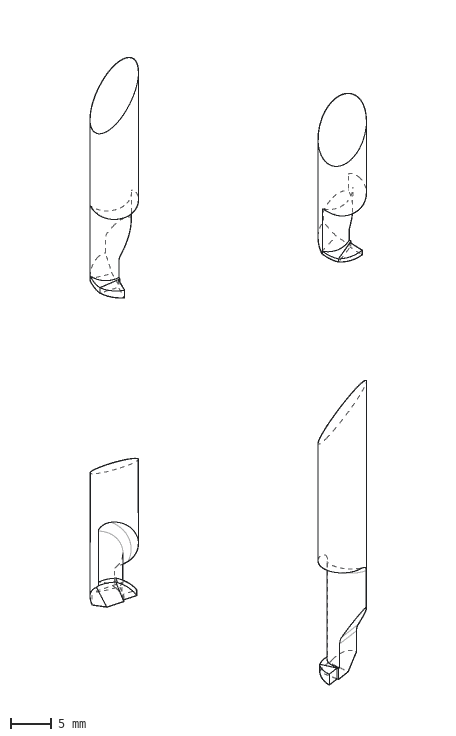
import cadquery as cq
import math

LENGTH = 42.45
DIAMETER = 6.0
RADIUS = DIAMETER / 2
END_ANGLE = 60
END_SLOPE = math.tan(math.radians(END_ANGLE))
OVERSIZE = 2 * DIAMETER

NECK_RADIUS = RADIUS
NECK_RIGHT = 0.95
NECK_AXIS_X = NECK_RIGHT - NECK_RADIUS
SHOULDER_Z = 16.15
SHOULDER_FILLET = 1.0

NECK_EDGE_X = NECK_AXIS_X / 2
NECK_EDGE_Y = -math.sqrt(RADIUS**2 - NECK_EDGE_X**2)

RELIEF_Y = 0.2
RELIEF_CORNER_Z = 5.47
RELIEF_FILLET = 2.0

HEAD_HEIGHT = 1.55
HEAD_CLEARANCE = 5
HEAD_BOTTOM_TILT = 1
FRONT_BULGE = 0.13
TIP_START_X = 1.2
TIP_START_Y = -2.55
TIP_FLANK_X = 2.38
TIP_FLANK_Y = -1.35
CHAMFER_Z = 2.0


def make_blank():
    """Round bar whose top end is cut off at a slant, highest at +Y."""
    bar = cq.Workplane("XY").circle(RADIUS).extrude(LENGTH)
    low_z = LENGTH - DIAMETER * END_SLOPE
    slant = (
        cq.Workplane("YZ")
        .moveTo(-RADIUS, low_z)
        .lineTo(RADIUS, LENGTH)
        .lineTo(-RADIUS, LENGTH)
        .close()
        .extrude(RADIUS, both=True)
    )
    return bar.cut(slant)


def make_neck_cutter():
    """Ring around the neck axis that leaves the neck and its filleted shoulder."""
    bend = SHOULDER_FILLET * (1 - math.sqrt(0.5))
    outer = NECK_RADIUS + OVERSIZE
    return (
        cq.Workplane("XZ")
        .moveTo(NECK_RADIUS, -HEAD_HEIGHT)
        .lineTo(NECK_RADIUS, SHOULDER_Z - SHOULDER_FILLET)
        .threePointArc(
            (NECK_RADIUS + bend, SHOULDER_Z - bend),
            (NECK_RADIUS + SHOULDER_FILLET, SHOULDER_Z),
        )
        .lineTo(outer, SHOULDER_Z)
        .lineTo(outer, -HEAD_HEIGHT)
        .close()
        .revolve(360, (0, 0, 0), (0, 1, 0))
        .translate((NECK_AXIS_X, 0, 0))
    )


def make_relief_cutter():
    """Removes the +Y side of the neck down to a flat with a slanted run-out."""
    run_out_z = RELIEF_CORNER_Z + OVERSIZE * END_SLOPE
    relief = (
        cq.Workplane("YZ")
        .moveTo(RELIEF_Y, -HEAD_HEIGHT)
        .lineTo(RELIEF_Y, RELIEF_CORNER_Z)
        .lineTo(RELIEF_Y + OVERSIZE, run_out_z)
        .lineTo(RELIEF_Y + OVERSIZE, -HEAD_HEIGHT)
        .close()
        .extrude(OVERSIZE, both=True)
    )
    corner = cq.selectors.NearestToPointSelector((0, RELIEF_Y, RELIEF_CORNER_Z))
    return relief.edges(corner).fillet(RELIEF_FILLET)


def make_bottom_cutter():
    """Block below the tilted bottom face, which passes through the cutting corner."""
    return (
        cq.Workplane("XY")
        .box(2 * OVERSIZE, 2 * OVERSIZE, DIAMETER, centered=(True, True, False))
        .translate((0, 0, -DIAMETER))
        .rotate((0, 0, 0), (1, 0, 0), -HEAD_CLEARANCE)
        .rotate((0, 0, 0), (0, 1, 0), HEAD_BOTTOM_TILT)
        .translate((RADIUS, 0, 0))
    )


def make_top_cutter():
    """Block above the head's top face, which falls towards -Y."""
    return (
        cq.Workplane("XY")
        .box(2 * OVERSIZE, 2 * OVERSIZE, DIAMETER, centered=(True, True, False))
        .rotate((0, 0, 0), (1, 0, 0), HEAD_CLEARANCE)
        .translate((0, 0, HEAD_HEIGHT))
    )


def make_chamfer_cutter():
    """45 degree chamfer under the -X side."""
    return (
        cq.Workplane("XZ")
        .moveTo(-RADIUS, CHAMFER_Z)
        .lineTo(-RADIUS + 2 * CHAMFER_Z, -CHAMFER_Z)
        .lineTo(-RADIUS, -CHAMFER_Z)
        .close()
        .extrude(OVERSIZE, both=True)
    )


def make_head():
    """The part of the head that carries the tip."""
    return (
        cq.Workplane("XY")
        .moveTo(NECK_EDGE_X, NECK_EDGE_Y)
        .sagittaArc((TIP_START_X, TIP_START_Y), -FRONT_BULGE)
        .lineTo(TIP_START_X, RELIEF_Y)
        .lineTo(NECK_EDGE_X, RELIEF_Y)
        .close()
        .extrude(HEAD_HEIGHT + RELIEF_Y)
        .cut(make_top_cutter())
    )


def make_holder():
    return (
        make_blank()
        .cut(make_neck_cutter())
        .cut(make_relief_cutter())
        .union(make_head())
        .cut(make_bottom_cutter())
        .cut(make_chamfer_cutter())
    )


def make_cutting_tip():
    """Tip with its rake face on the shank's centre plane and a curved flank."""
    return (
        cq.Workplane("XY")
        .moveTo(TIP_START_X, TIP_START_Y)
        .threePointArc((TIP_FLANK_X, TIP_FLANK_Y), (RADIUS, 0))
        .lineTo(TIP_START_X, 0)
        .close()
        .extrude(HEAD_HEIGHT)
        .cut(make_top_cutter())
        .cut(make_bottom_cutter())
    )


holder = make_holder()
cutting_tip = make_cutting_tip()

result = cq.Compound.makeCompound([holder.solids().val(), cutting_tip.solids().val()])